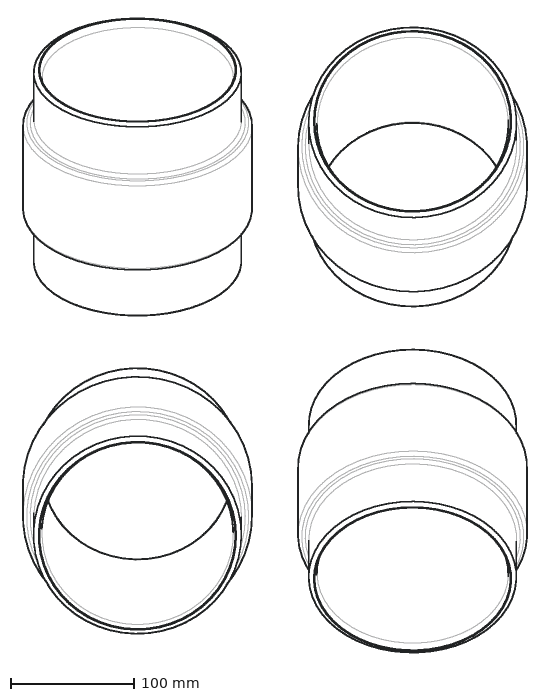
import cadquery as cq
import math

total_height = 184.0
body_radius = 93.0
body_height = 84.4
spigot_radius = 84.2
bore_radius = 77.5

shoulder_fillet = 3.0

rim_outer_radius = 80.1
rim_bevel_height = 2.2
lead_in_depth = 6.7
lead_in_angle = 15.0
rim_inner_radius = bore_radius + lead_in_depth * math.tan(math.radians(lead_in_angle))

half_height = total_height / 2
half_body = body_height / 2


def make_stepped_sleeve():
    """Thick middle body with a plain spigot above and below, bored right through."""
    spigots = cq.Workplane("XY").cylinder(total_height, spigot_radius)
    body = cq.Workplane("XY").cylinder(body_height, body_radius)
    bore = cq.Workplane("XY").cylinder(total_height, bore_radius)
    return spigots.union(body).cut(bore)


def round_shoulders(sleeve):
    """Round the outer edge and the inside corner of both shoulders."""
    shoulder_faces = cq.selectors.BoxSelector(
        (-body_radius, -body_radius, -half_body - shoulder_fillet),
        (body_radius, body_radius, half_body + shoulder_fillet),
    )
    return sleeve.faces("|Z").faces(shoulder_faces).edges().fillet(shoulder_fillet)


def make_rim_cutter():
    """Material removed from the upper rim: the outer bevel ring and the lead-in cone."""
    bevel_ring = (
        cq.Workplane("XZ")
        .moveTo(spigot_radius, half_height - rim_bevel_height)
        .lineTo(spigot_radius, half_height)
        .lineTo(rim_outer_radius, half_height)
        .close()
        .revolve(360, (0, 0, 0), (0, 1, 0))
    )
    lead_in = (
        cq.Workplane("XZ")
        .moveTo(bore_radius, half_height - lead_in_depth)
        .lineTo(rim_inner_radius, half_height)
        .lineTo(bore_radius, half_height)
        .close()
        .revolve(360, (0, 0, 0), (0, 1, 0))
    )
    return bevel_ring.union(lead_in)


upper_rim_cutter = make_rim_cutter()
lower_rim_cutter = upper_rim_cutter.mirror("XY")

result = round_shoulders(make_stepped_sleeve()).cut(upper_rim_cutter).cut(lower_rim_cutter)